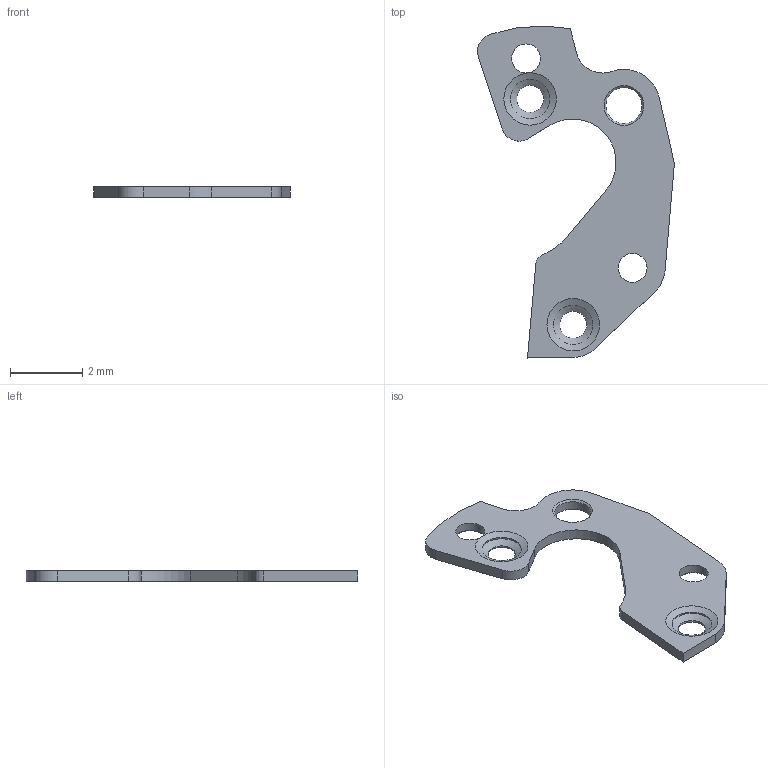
import cadquery as cq
import math

thickness = 0.3

upper_pin_center = (-1.285, 2.875)
lower_pin_center = (1.66, -2.915)
pin_hole_diameter = 0.8
pin_chamfer = 0.06

upper_screw_center = (-1.173, 1.755)
lower_screw_center = (0.017, -4.487)
screw_hole_diameter = 0.75
head_floor_diameter = 1.1
head_mouth_diameter = 1.45
mouth_cone_depth = 0.09
head_wall_depth = 0.04
seat_cone_depth = 0.12

pivot_center = (1.42, 1.573)
pivot_hole_diameter = 1.0
pivot_chamfer = 0.05

lower_tip = (-1.245, -5.405)
outer_tip = (2.815, -0.02)
notch_tip_x = -0.06

lower_round_radius = 0.9
pivot_lobe_radius = 1.0
neck_radius = 0.75
neck_direction = math.radians(109.6)
end_round_radius = 0.5
upper_end_center = (-2.125, 3.065)
inner_end_center = (-1.475, 1.09)
recess_center = (0, 0)
recess_radius = 1.2
waist_center = (-1.323, -1.121)
waist_radius = 1.5
nub_center = (-0.716, -2.831)
nub_radius = 0.3

touching_gap = 1e-6

top_arc_center = (-0.868, -0.65)


def offset(point, distance, angle):
    """Point at a given distance and direction from another point."""
    return (point[0] + distance * math.cos(angle), point[1] + distance * math.sin(angle))


def direction(start, end):
    """Angle of the vector from start to end."""
    return math.atan2(end[1] - start[1], end[0] - start[0])


top_arc_radius = math.dist(top_arc_center, upper_end_center) + end_round_radius
top_arc_end = offset(top_arc_center, top_arc_radius, direction(top_arc_center, upper_end_center))
notch_tip_rise = math.sqrt(top_arc_radius**2 - (notch_tip_x - top_arc_center[0]) ** 2)
notch_tip = (notch_tip_x, top_arc_center[1] + notch_tip_rise)
neck_center = offset(pivot_center, pivot_lobe_radius + neck_radius, neck_direction)


def tangent_points(first, second):
    """Ends of the straight edge that leaves one round and meets the next.

    A round is (center, radius): the radius is positive on a convex round,
    negative on a hollow one and zero on a sharp corner, walking counterclockwise.
    """
    center_a, radius_a = first
    center_b, radius_b = second
    ratio = (radius_b - radius_a) / math.dist(center_a, center_b)
    inward = direction(center_a, center_b) + math.acos(max(-1, min(1, ratio)))
    return offset(center_a, -radius_a, inward), offset(center_b, -radius_b, inward)


def add_round(path, corner, start, end):
    """Arc of a round, from the edge that arrives to the edge that leaves."""
    center, radius = corner
    if radius == 0:
        return path
    middle_of_chord = ((start[0] + end[0]) / 2, (start[1] + end[1]) / 2)
    middle = offset(center, abs(radius), direction(center, middle_of_chord))
    return path.threePointArc(middle, end)


def add_edge(path, start, end):
    """Straight edge, left out where two rounds touch directly."""
    if math.dist(start, end) < touching_gap:
        return path
    return path.lineTo(*end)


def add_side(path, arrival, rounds):
    """Run along a list of rounds, starting at a point on the first one."""
    for corner, following in zip(rounds, rounds[1:]):
        edge_start, edge_end = tangent_points(corner, following)
        path = add_round(path, corner, arrival, edge_start)
        path = add_edge(path, edge_start, edge_end)
        arrival = edge_end
    return path


def make_plate():
    outer_side = [
        (lower_tip, 0),
        (lower_screw_center, lower_round_radius),
        (lower_pin_center, lower_round_radius),
        (outer_tip, 0),
        (pivot_center, pivot_lobe_radius),
        (neck_center, -neck_radius),
        (notch_tip, 0),
    ]
    inner_side = [
        (upper_end_center, end_round_radius),
        (inner_end_center, end_round_radius),
        (recess_center, -recess_radius),
        (waist_center, -waist_radius),
        (nub_center, nub_radius),
        (lower_tip, 0),
    ]
    top_middle = offset(top_arc_center, top_arc_radius, math.pi / 2)
    path = cq.Workplane("XY").moveTo(*lower_tip)
    path = add_side(path, lower_tip, outer_side)
    path = path.threePointArc(top_middle, top_arc_end)
    path = add_side(path, top_arc_end, inner_side)
    return path.close().extrude(thickness)


def turned_cutter(center, profile):
    """Solid of revolution about a vertical axis; profile is (radius, height) pairs."""
    cutter = cq.Workplane("XZ").polyline(profile).close().revolve(360, (0, 0, 0), (0, 1, 0))
    return cutter.translate((center[0], center[1], 0))


def pin_hole(center):
    """Hole with a chamfered lower rim."""
    radius = pin_hole_diameter / 2
    profile = [
        (0, 0),
        (radius + pin_chamfer, 0),
        (radius, pin_chamfer),
        (radius, thickness),
        (0, thickness),
    ]
    return turned_cutter(center, profile)


def screw_hole(center):
    """Hole with a two-stage countersink and a short wall between the cones."""
    wall_top = thickness - mouth_cone_depth
    wall_bottom = wall_top - head_wall_depth
    seat_bottom = wall_bottom - seat_cone_depth
    profile = [
        (0, 0),
        (screw_hole_diameter / 2, 0),
        (screw_hole_diameter / 2, seat_bottom),
        (head_floor_diameter / 2, wall_bottom),
        (head_floor_diameter / 2, wall_top),
        (head_mouth_diameter / 2, thickness),
        (0, thickness),
    ]
    return turned_cutter(center, profile)


def pivot_hole(center):
    """Hole with a chamfered upper rim."""
    radius = pivot_hole_diameter / 2
    profile = [
        (0, 0),
        (radius, 0),
        (radius, thickness - pivot_chamfer),
        (radius + pivot_chamfer, thickness),
        (0, thickness),
    ]
    return turned_cutter(center, profile)


result = make_plate()
for pin_center in (upper_pin_center, lower_pin_center):
    result = result.cut(pin_hole(pin_center))
for screw_center in (upper_screw_center, lower_screw_center):
    result = result.cut(screw_hole(screw_center))
result = result.cut(pivot_hole(pivot_center))